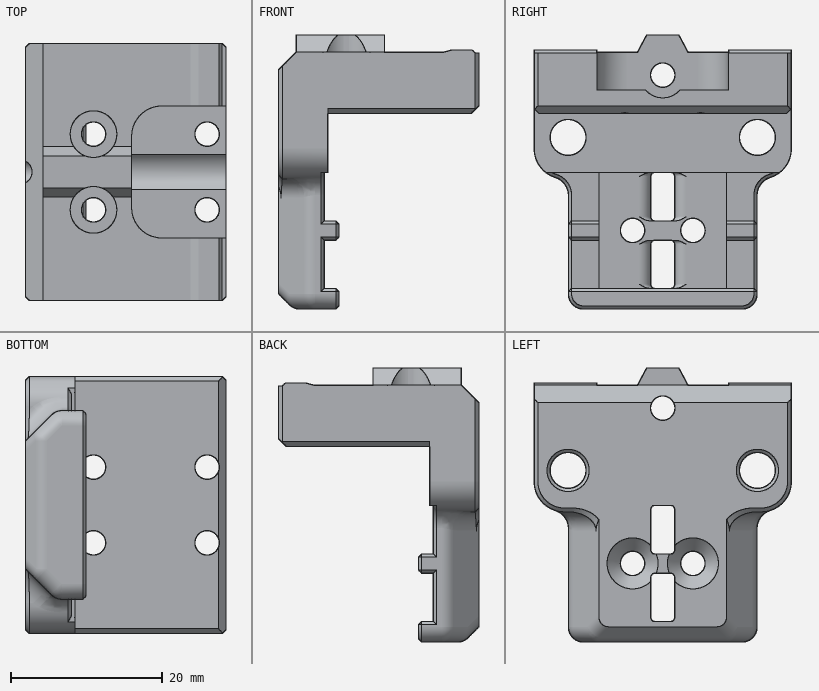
import cadquery as cq
import math

length = 26.5
width = 34.0
height = 36.25
edge_chamfer = 0.5

arm_top = 33.95
arm_bottom = 25.85
arm_side_chamfer = 0.65
arm_tip_chamfer = 1.0
plate_thickness = 6.52
plate_bottom = 17.22
plate_corner_radius = 4.0
top_chamfer = 2.32

pad_top = 34.25
pad_ramp_start = 21.82
pad_ramp_end = 22.87
pad_edge = 25.6
tip_ledge_x = length - edge_chamfer
tip_ledge_z = 33.85

leg_width = 24.95
leg_back = 6.05
leg_side_chamfer = 4.02
leg_bottom_chamfer = 2.03
leg_radius = 2.0
leg_blend_radius = 2.5
lug_tip = 8.0
lug_chamfer = 0.45
toe_top = 2.75
rib_bottom = 9.1
rib_top = 11.67
recess_top = 18.05

slot_width = 3.1
slot_corner_radius = 0.5
slot_depth = 2.0
slot_flare_radius = 1.5
cavity_floor = slot_depth + slot_flare_radius
cavity_width = leg_width - 2 * leg_side_chamfer

ridge_end = 14.03
ridge_base_width = 6.67
ridge_crest_width = 4.25

pocket_width = 17.45
pocket_floor = 28.95
pocket_radius = 4.0
groove_diameter = 6.0

screw_diameter = 3.2
arm_hole_y = 5.0
arm_hole_x = 9.0
tip_hole_x = 24.0
counterbore_diameter = 6.15
counterbore_web = 3.88
center_hole_z = 30.92
plate_hole_diameter = 4.7
plate_hole_rim = 5.6
plate_hole_y = 12.5
plate_hole_z = 22.7
leg_hole_y = 4.0
leg_hole_z = 10.4
countersink_diameter = 6.75

half_width = width / 2
half_leg = leg_width / 2
slot_spans = ((toe_top, rib_bottom), (rib_top, recess_top))
margin = 0.05


def box(x0, x1, y0, y1, z0, z1):
    """Axis-aligned block between the given limits."""
    return cq.Workplane("XY").box(x1 - x0, y1 - y0, z1 - z0, centered=False).translate((x0, y0, z0))


def x_cylinder(diameter, x0, x1, y, z):
    """Cylinder along X."""
    return cq.Workplane("YZ", origin=(x0, y, z)).circle(diameter / 2).extrude(x1 - x0)


def z_cylinder(diameter, x, y, z0, z1):
    """Cylinder along Z."""
    return cq.Workplane("XY", origin=(x, y, z0)).circle(diameter / 2).extrude(z1 - z0)


def x_cone(start_diameter, end_diameter, y, z):
    """45 degree cone from the front face inward."""
    r0 = start_diameter / 2
    r1 = end_diameter / 2
    return cq.Workplane(cq.Solid.makeCone(r0, r1, r0 - r1, cq.Vector(0, y, z), cq.Vector(1, 0, 0)))


def make_arm():
    profile = [
        (top_chamfer, arm_bottom),
        (length - arm_tip_chamfer, arm_bottom),
        (length, arm_bottom + arm_tip_chamfer),
        (length, tip_ledge_z),
        (tip_ledge_x, tip_ledge_z),
        (pad_edge, pad_top),
        (pad_ramp_end, pad_top),
        (pad_ramp_start, arm_top),
        (top_chamfer, arm_top),
    ]
    arm = cq.Workplane("XZ").polyline(profile).close().extrude(half_width, both=True)
    arm = arm.faces(">X").edges("|Z").chamfer(edge_chamfer)
    for side in (">Y", "<Y"):
        arm = arm.faces(side).edges("<Z").chamfer(arm_side_chamfer)
    return arm


def make_plate():
    plate = box(0, plate_thickness, -half_width, half_width, plate_bottom, arm_top)
    return plate.edges("|X and <Z").fillet(plate_corner_radius)


def make_leg():
    """Leg bar with a bevelled front and rounded sides, as deep as the lugs."""
    leg = box(0, lug_tip, -half_leg, half_leg, 0, plate_bottom)
    leg = leg.faces("<X").edges("<Z").chamfer(leg_bottom_chamfer)
    leg = leg.faces("<X").edges("|Z").chamfer(leg_side_chamfer)
    skirt = leg.edges().filter(
        lambda e: e.BoundingBox().xmax > margin
        and e.BoundingBox().xmin < lug_tip - margin
        and e.Center().z < plate_bottom - margin
    )
    return skirt.fillet(leg_radius)


def make_front():
    """Plate and leg joined, with the concave blend and the bevelled outline."""
    leg = make_leg()
    rim = leg.intersect(box(0, plate_thickness, -half_leg, half_leg, 0, plate_bottom))
    front = make_plate().union(rim)
    joint = front.edges().filter(
        lambda e: abs(e.Center().z - plate_bottom) < margin
        and abs(e.Center().y) < half_leg + margin
        and margin < e.Center().x < plate_thickness - margin
    )
    front = joint.fillet(leg_blend_radius)
    outline = front.faces("<X").edges().filter(
        lambda e: e.Center().z < arm_top - margin
        and e.BoundingBox().zmax > plate_bottom - margin
    )
    front = outline.chamfer(edge_chamfer)
    return front.union(leg)


def cut_back(body):
    """Recess the back of the leg, leaving a rib and a toe, and bevel its edges."""
    for z0, z1 in slot_spans:
        body = body.cut(box(leg_back, length, -half_width, half_width, z0, z1))
    back_edges = body.edges().filter(
        lambda e: e.Center().x > leg_back - margin
        and e.Center().z < plate_bottom
        and (abs(e.Center().y) > margin or e.Center().x > lug_tip - margin)
    )
    return back_edges.chamfer(lug_chamfer)


def make_slot(z0, z1):
    """Slot through the leg front, its sides rounding outward into the rear cavity."""
    side = slot_width / 2
    rim = side + slot_flare_radius
    turn = slot_flare_radius * math.sqrt(0.5)
    turn_x = slot_depth + turn
    turn_y = rim - turn
    plan = (
        cq.Workplane("XY", origin=(0, 0, z0))
        .moveTo(0, -side)
        .lineTo(slot_depth, -side)
        .threePointArc((turn_x, -turn_y), (cavity_floor, -rim))
        .lineTo(cavity_floor, rim)
        .threePointArc((turn_x, turn_y), (slot_depth, side))
        .lineTo(0, side)
        .close()
    )
    slot = plan.extrude(z1 - z0)
    long_edges = slot.edges("not |Z").filter(lambda e: abs(e.Center().y) > margin)
    return long_edges.fillet(slot_corner_radius)


def cut_slots(body):
    """Rear cavity of the leg and the two slots leading into it."""
    half_cavity = cavity_width / 2
    body = body.cut(box(cavity_floor, lug_tip, -half_cavity, half_cavity, toe_top, recess_top))
    for z0, z1 in slot_spans:
        body = body.cut(make_slot(z0, z1))
    return body


def make_ridge():
    """Trapezoidal ridge running along X; its foot reaches into the arm."""
    profile = [
        (-ridge_base_width / 2, arm_top),
        (ridge_base_width / 2, arm_top),
        (ridge_crest_width / 2, height),
        (-ridge_crest_width / 2, height),
    ]
    ridge = cq.Workplane("YZ", origin=(top_chamfer, 0, 0)).polyline(profile).close()
    return ridge.extrude(ridge_end - top_chamfer)


def make_pocket():
    """Rounded pocket open at the arm tip, with a round groove along its floor."""
    pocket = box(ridge_end, length, -pocket_width / 2, pocket_width / 2, pocket_floor, height)
    pocket = pocket.edges("|Z and <X").fillet(pocket_radius)
    return pocket.union(x_cylinder(groove_diameter, ridge_end, length, 0, center_hole_z))


def make_counterbore(y):
    """Counterbore with a narrow flat on the side facing the other one."""
    bore = z_cylinder(counterbore_diameter, arm_hole_x, y, pocket_floor, height)
    return bore.cut(box(0, length, -counterbore_web / 2, counterbore_web / 2, arm_bottom, height))


def cut_holes(body):
    body = body.cut(x_cylinder(screw_diameter, 0, ridge_end, 0, center_hole_z))
    for side in (-1, 1):
        y = side * arm_hole_y
        body = body.cut(make_counterbore(y))
        for x in (arm_hole_x, tip_hole_x):
            body = body.cut(z_cylinder(screw_diameter, x, y, arm_bottom, height))
        y = side * plate_hole_y
        body = body.cut(x_cylinder(plate_hole_diameter, 0, plate_thickness, y, plate_hole_z))
        body = body.cut(x_cone(plate_hole_rim, plate_hole_diameter, y, plate_hole_z))
        y = side * leg_hole_y
        body = body.cut(x_cylinder(screw_diameter, 0, lug_tip, y, leg_hole_z))
        body = body.cut(x_cone(countersink_diameter, screw_diameter, y, leg_hole_z))
    return body


body = cut_back(make_front())
bevel = [(0, arm_top - top_chamfer), (top_chamfer, arm_top), (0, arm_top)]
body = body.union(make_arm())
body = body.cut(cq.Workplane("XZ").polyline(bevel).close().extrude(width, both=True))
body = body.union(make_ridge())
body = body.cut(make_pocket())
result = cut_slots(cut_holes(body))